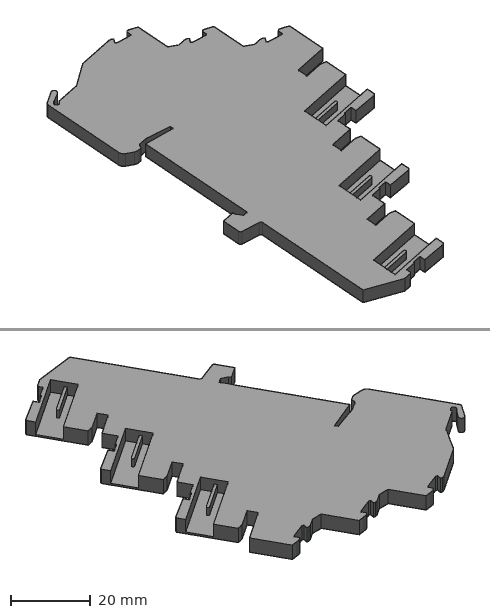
import cadquery as cq
import math

LENGTH = 106.5
HEIGHT = 59.0
THICKNESS = 5.0

TIER_COUNT = 3
TIER_DROP = 12.6

CLIP_PITCH = 14.2
CLIP_HEAD_HEIGHT = 3.1
CLIP_LIP_DEPTH = 3.0
CLIP_RAMP_WIDTH = 1.7
CLIP_RAMP_TOP_DROP = 7.1
TOP_CLIP_Y = HEIGHT - CLIP_HEAD_HEIGHT

TOWER_PITCH = 22.4
TOWER_WIDTH = 16.8
TOWER_TOP_Y = 56.3
TOWER_LEAD_X = 0.6
TOWER_LEAD_Y = 1.6
TOWER_CORNER = 0.3
TOWER_DRAFT = 0.2
WIRE_SLOT_WIDTH = 2.9
WIRE_SLOT_DEPTH = 6.7
SIDE_NOTCH_DROP = 7.1
SIDE_NOTCH_DEPTH = 1.5
SIDE_NOTCH_STEP = 0.3
SIDE_NOTCH_STEP_DROP = 2.5
FIRST_TOWER_X = LENGTH - TOWER_WIDTH - (TIER_COUNT - 1) * TOWER_PITCH

POCKET_OFFSET = 7.0
POCKET_WIDTH = 7.1
POCKET_LENGTH = 15.7
POCKET_FLOOR = 0.6
RIB_OFFSET = 9.8
RIB_WIDTH = 0.9
RIB_LENGTH = 8.6
RIB_HEIGHT = 2.8

FINGER_LEAN = math.radians(24)
FINGER_RADIUS = 0.9
FINGER_CENTER_Y = 3.9
RELIEF_X = 3.5

FOOT_LEFT_X = 2.3
FOOT_RIGHT_X = 29.0
SLIT_LEFT_X = 27.9
SLIT_TOP_Y = 14.8
RAIL_FACE_Y = 6.5
HOOK_BOTTOM_Y = 0.4
HOOK_LEFT_X = 60.1
HOOK_NECK_X = 62.6
CORNER_TOP_Y = 16.2
CORNER_BOTTOM_X = 101.1


def tower_points(index):
    """Wire slot, tower top and side notch, from left to right."""
    left = FIRST_TOWER_X + index * TOWER_PITCH
    right = left + TOWER_WIDTH
    top = TOWER_TOP_Y - index * TIER_DROP
    slot_left = left - WIRE_SLOT_WIDTH
    slot_mouth = HEIGHT if index == 0 else top
    slot_floor = top - WIRE_SLOT_DEPTH
    notch_x = right - SIDE_NOTCH_DEPTH
    notch_top = top - SIDE_NOTCH_DROP
    step_y = notch_top - SIDE_NOTCH_STEP_DROP
    return [
        (slot_left, slot_mouth),
        (slot_left, slot_floor),
        (left, slot_floor),
        (left, top - TOWER_LEAD_Y),
        (left + TOWER_LEAD_X, top),
        (right - TOWER_CORNER, top),
        (right, top - TOWER_CORNER),
        (right - TOWER_DRAFT, notch_top),
        (notch_x - SIDE_NOTCH_STEP, notch_top),
        (notch_x - SIDE_NOTCH_STEP, step_y),
        (notch_x, step_y),
        (notch_x, top - TIER_DROP),
    ]


def clip_points(index):
    """Lip, slanted recess and hooked head of a marker clip, from bottom to top.

    The inner corner under the head is the reference of each clip. All clips but the
    lowest start with a ramp that rises from the step below.
    """
    x = CLIP_LIP_DEPTH + index * CLIP_PITCH
    y = TOP_CLIP_Y - (TIER_COUNT - 1 - index) * TIER_DROP
    points = [
        (x - CLIP_LIP_DEPTH, y - 4.9),
        (x - 2.8, y - 4.3),
        (x - 2.3, y - 3.8),
        (x - 1.4, y - 4.6),
        (x - 1.0, y - 4.3),
        (x, y - 0.5),
        (x, y),
        (x - 1.4, y),
        (x - 1.6, y + 0.3),
        (x - 1.5, y + 0.9),
        (x - 1.2, y + 1.5),
        (x - 0.3, y + CLIP_HEAD_HEIGHT),
    ]
    if index > 0:
        step_y = y - TIER_DROP + CLIP_HEAD_HEIGHT
        lip_x = x - CLIP_LIP_DEPTH
        points = [(lip_x - CLIP_RAMP_WIDTH, step_y), (lip_x, y - CLIP_RAMP_TOP_DROP)] + points
    return points


def finger_point(angle):
    """Point on the round finger tip; the angle in degrees starts at its inner side."""
    turn = FINGER_LEAN + math.radians(angle)
    return (
        FINGER_RADIUS + FINGER_RADIUS * math.cos(turn),
        FINGER_CENTER_Y + FINGER_RADIUS * math.sin(turn),
    )


def plate():
    """Housing outline, counter-clockwise from the foot, extruded to full thickness."""
    outline = cq.Workplane("XY").moveTo(FOOT_LEFT_X, 0)
    outline = (
        outline.lineTo(25.7, 0)
        .threePointArc((26.5, 0.2), (27.3, 0.9))
        .lineTo(28.5, 2.7)
        .threePointArc((28.9, 3.3), (FOOT_RIGHT_X, 4.0))
        .lineTo(FOOT_RIGHT_X, 4.8)
        .lineTo(SLIT_LEFT_X, 5.3)
        .lineTo(SLIT_LEFT_X, 7.9)
        .lineTo(29.9, SLIT_TOP_Y)
        .lineTo(30.9, SLIT_TOP_Y)
        .lineTo(FOOT_RIGHT_X, RAIL_FACE_Y)
    )
    outline = (
        outline.lineTo(HOOK_NECK_X, RAIL_FACE_Y)
        .lineTo(HOOK_NECK_X, 5.1)
        .lineTo(60.8, 4.0)
        .lineTo(HOOK_LEFT_X, 4.0)
        .lineTo(HOOK_LEFT_X, HOOK_BOTTOM_Y)
        .lineTo(65.1, HOOK_BOTTOM_Y)
        .threePointArc((65.5, 0.5), (65.8, 1.0))
        .lineTo(67.1, 5.9)
        .threePointArc((67.3, 6.3), (67.7, RAIL_FACE_Y))
    )
    last_notch_y = TOWER_TOP_Y - TIER_COUNT * TIER_DROP
    outline = (
        outline.lineTo(CORNER_BOTTOM_X, RAIL_FACE_Y)
        .lineTo(LENGTH, CORNER_TOP_Y)
        .lineTo(LENGTH, last_notch_y - TOWER_CORNER)
        .lineTo(LENGTH - TOWER_CORNER, last_notch_y)
    )
    flanks = []
    for index in range(TIER_COUNT):
        flanks += clip_points(index)
    for index in range(TIER_COUNT):
        flanks += tower_points(index)
    for point in reversed(flanks):
        outline = outline.lineTo(*point)
    outline = (
        outline.lineTo(0, 15.8)
        .lineTo(RELIEF_X, 9.4)
        .lineTo(RELIEF_X, 2.8)
        .threePointArc((3.6, 1.3), (2.6, 2.1))
        .lineTo(*finger_point(0))
        .threePointArc(finger_point(90), finger_point(180))
        .lineTo(1.6, 0.4)
        .threePointArc((1.9, 0.1), (FOOT_LEFT_X, 0))
        .close()
    )
    return outline.extrude(THICKNESS)


def pocket(index):
    """Plug pocket open at the tower top, less the round-ended rib left on its floor."""
    tower_x = FIRST_TOWER_X + index * TOWER_PITCH
    top = TOWER_TOP_Y - index * TIER_DROP
    bottom = top - POCKET_LENGTH
    cavity = cq.Workplane("XY", origin=(tower_x + POCKET_OFFSET, bottom, POCKET_FLOOR)).box(
        POCKET_WIDTH, POCKET_LENGTH, THICKNESS - POCKET_FLOOR, centered=False
    )
    rib_radius = RIB_WIDTH / 2
    rib_x = tower_x + RIB_OFFSET
    shoulder_y = bottom + RIB_LENGTH - rib_radius
    rib = (
        cq.Workplane("XY", origin=(0, 0, POCKET_FLOOR))
        .moveTo(rib_x, bottom)
        .lineTo(rib_x + RIB_WIDTH, bottom)
        .lineTo(rib_x + RIB_WIDTH, shoulder_y)
        .threePointArc((rib_x + rib_radius, bottom + RIB_LENGTH), (rib_x, shoulder_y))
        .close()
        .extrude(RIB_HEIGHT)
    )
    return cavity.cut(rib)


result = plate()
for tier in range(TIER_COUNT):
    result = result.cut(pocket(tier))